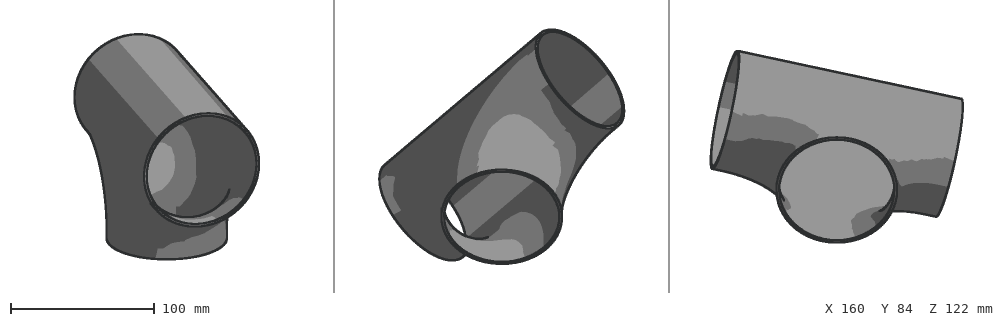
import cadquery as cq
import math

outer_diameter = 84.0
wall = 2.0
run_length = 160.0
straight_end = 8.0

outer_radius = outer_diameter / 2
inner_radius = outer_radius - wall
half_run = run_length / 2
branch_depth = half_run
bend_radius = branch_depth - straight_end
bend_angle = 90.0
cos_45 = math.sqrt(0.5)


def quarter_ring(plane, side):
    """Quarter of the pipe wall section: local X negative, local Y above (1) or below (-1) zero."""
    outer_mid = outer_radius * cos_45
    inner_mid = inner_radius * cos_45
    return (
        cq.Workplane(plane)
        .moveTo(-outer_radius, 0)
        .threePointArc((-outer_mid, side * outer_mid), (0, side * outer_radius))
        .lineTo(0, side * inner_radius)
        .threePointArc((-inner_mid, side * inner_mid), (-inner_radius, 0))
        .close()
    )


def run_section(x):
    """Plane across the run at the given X, with local axes along Y and Z."""
    return cq.Plane(origin=(x, 0, 0), xDir=(0, 1, 0), normal=(1, 0, 0))


def run_top():
    """Run pipe above its axis, over the full length."""
    return quarter_ring(run_section(-half_run), 1).extrude(run_length)


def run_end():
    """Straight pipe below the run axis at the -X opening."""
    return quarter_ring(run_section(-half_run), -1).extrude(straight_end)


def bend():
    """Inner side of the bend from the -X opening down to the branch."""
    axis_start = (0, -bend_radius)
    axis_end = (1, -bend_radius)
    return quarter_ring(run_section(-bend_radius), -1).revolve(bend_angle, axis_start, axis_end)


def branch_end():
    """Straight pipe on the -X side of the branch opening."""
    branch_section = cq.Plane(origin=(0, 0, -branch_depth), xDir=(0, 1, 0), normal=(0, 0, 1))
    return quarter_ring(branch_section, 1).extrude(straight_end)


def side_plate():
    """Flat plate under the run axis, filling the space between the two bend centrelines."""
    mid_offset = bend_radius * (1 - cos_45)
    return (
        cq.Workplane("XZ", origin=(0, -inner_radius, 0))
        .moveTo(-bend_radius, 0)
        .lineTo(bend_radius, 0)
        .threePointArc((mid_offset, -mid_offset), (0, -bend_radius))
        .threePointArc((-mid_offset, -mid_offset), (-bend_radius, 0))
        .close()
        .extrude(wall)
    )


def front_half():
    """All of the tee on the -Y side of its symmetry plane."""
    half = run_top().union(side_plate(), clean=False)
    for piece in (bend(), run_end(), branch_end()):
        half = half.union(piece, clean=False).union(piece.mirror("YZ"), clean=False)
    return half


half_tee = front_half()
tee = half_tee.union(half_tee.mirror("XZ"), clean=False)
result = cq.Workplane(tee.solids().val())